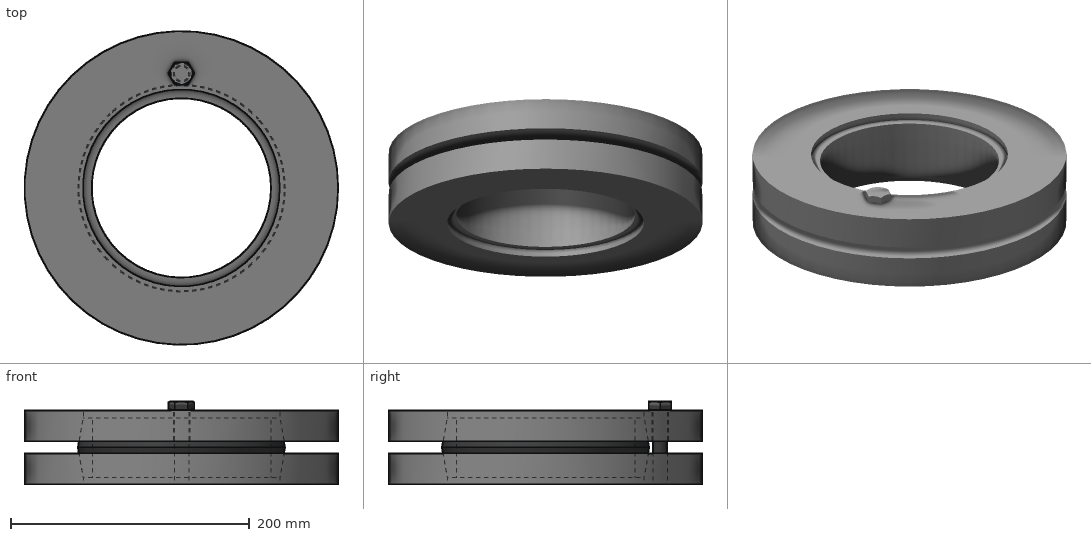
import cadquery as cq
import math

disc_diameter = 263.0
disc_thickness = 26.0
disc_gap = 10.0
upper_disc_base = disc_thickness + disc_gap
stack_height = upper_disc_base + disc_thickness
mid_height = stack_height / 2

ring_bore = 150.0
ring_end_diameter = 165.0
ring_taper_angle = 10.0
ring_recess = 6.0
ring_top = stack_height - ring_recess
ring_taper_rise = (mid_height - ring_recess) * math.tan(math.radians(ring_taper_angle))
ring_middle_diameter = ring_end_diameter + 2 * ring_taper_rise

bolt_offset_y = 96.0
bolt_diameter = 12.0
bolt_clearance_diameter = 14.0
washer_face_diameter = 17.2
washer_face_height = 0.6
head_height = 7.5
head_across_flats = 19.0
head_across_corners = head_across_flats / math.cos(math.radians(30))
head_chamfer_angle = 30.0


def cylinder(diameter, base_z, height, center_y=0.0):
    """Upright cylinder centered on X = 0."""
    return cq.Workplane("XY", origin=(0, center_y, base_z)).circle(diameter / 2).extrude(height)


def make_ring_envelope():
    """Solid double cone that gives the ring its outside and the discs their tapered seats."""
    end_radius = ring_end_diameter / 2
    return (
        cq.Workplane("XZ")
        .moveTo(0, ring_recess)
        .lineTo(end_radius, ring_recess)
        .lineTo(ring_middle_diameter / 2, mid_height)
        .lineTo(end_radius, ring_top)
        .lineTo(0, ring_top)
        .close()
        .revolve(360, (0, 0, 0), (0, 1, 0))
    )


def make_inner_ring():
    """Double-tapered ring with a plain bore."""
    return make_ring_envelope().cut(cylinder(ring_bore, 0, stack_height))


def make_disc(base_z, bolt_hole_diameter):
    """Clamping disc with a tapered seat for the ring, a straight lip beyond it and one bolt hole."""
    return (
        cylinder(disc_diameter, base_z, disc_thickness)
        .cut(cylinder(ring_end_diameter, base_z, disc_thickness))
        .cut(make_ring_envelope())
        .cut(cylinder(bolt_hole_diameter, base_z, disc_thickness, bolt_offset_y))
    )


def make_bolt():
    """Bolt seated on the upper disc, its shank ending flush with the bottom of the lower disc."""
    hexagon_height = head_height - washer_face_height
    hexagon_base = stack_height + washer_face_height
    chamfer_width = (head_across_corners - head_across_flats) / 2
    chamfer_drop = chamfer_width * math.tan(math.radians(head_chamfer_angle))
    chamfered_blank = (
        cylinder(head_across_corners, hexagon_base, hexagon_height, bolt_offset_y)
        .faces(">Z")
        .chamfer(chamfer_drop, chamfer_width)
    )
    head = (
        cq.Workplane("XY", origin=(0, bolt_offset_y, hexagon_base))
        .polygon(6, head_across_corners)
        .extrude(hexagon_height)
        .intersect(chamfered_blank)
    )
    washer_face = cylinder(washer_face_diameter, stack_height, washer_face_height, bolt_offset_y)
    shank = cylinder(bolt_diameter, 0, stack_height, bolt_offset_y)
    return head.union(washer_face).union(shank)


lower_disc = make_disc(0, bolt_diameter)
upper_disc = make_disc(upper_disc_base, bolt_clearance_diameter)
inner_ring = make_inner_ring()
bolt = make_bolt()

result = cq.Compound.makeCompound(
    [lower_disc.val(), upper_disc.val(), inner_ring.val(), bolt.val()]
)